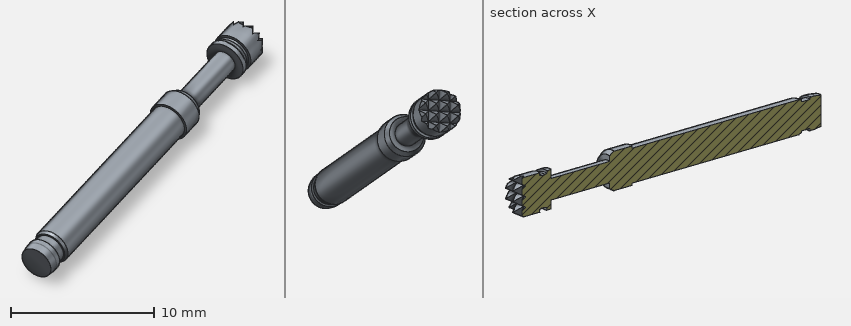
import cadquery as cq
import math

total_length = 27.3

groove_start = 2.0
groove_end = 2.6
head_length = 3.0
collar_start = 8.25
collar_end = 10.3
barrel_end = 25.55
tail_cap_start = 26.3

head_radius = 1.5
groove_rim_radius = 1.3
groove_floor_radius = 1.25
plunger_radius = 0.85
collar_radius = head_radius
barrel_radius = 1.35
tail_neck_radius = 1.12
tail_cap_radius = 1.28

groove_taper_length = 0.16
collar_taper_length = 0.4
collar_taper_depth = 0.25
barrel_taper_length = 0.25
barrel_taper_depth = 0.1
tail_taper_length = 0.6
tail_taper_depth = 0.08

tooth_pitch = 0.8
groove_half_angle = 30.0
grooves_across = 5
tooth_depth = tooth_pitch / 2 / math.tan(math.radians(groove_half_angle))


def turned(profile):
    """Revolve (radius, distance from the tips) points, listed tip first, about the axis."""
    outline = [(radius, total_length - distance) for radius, distance in profile]
    first_y = outline[0][1]
    last_y = outline[-1][1]
    outline = [(0, first_y)] + outline + [(0, last_y)]
    return cq.Workplane("XY").polyline(outline).close().revolve(360, (0, 0), (0, 1))


def head():
    """Tip head with a ring groove whose floor tapers up towards both walls."""
    return turned([
        (head_radius, 0),
        (head_radius, groove_start),
        (groove_rim_radius, groove_start),
        (groove_floor_radius, groove_start + groove_taper_length),
        (groove_floor_radius, groove_end - groove_taper_length),
        (groove_rim_radius, groove_end),
        (head_radius, groove_end),
        (head_radius, head_length),
    ])


def tooth_grooves():
    """Parallel V grooves running along Z, the middle one centred on the axis."""
    tip_y = total_length
    root_y = total_length - tooth_depth
    half_pitch = tooth_pitch / 2
    grooves = cq.Workplane("XY")
    for index in range(grooves_across):
        center_x = (index - (grooves_across - 1) / 2) * tooth_pitch
        section = [(center_x - half_pitch, tip_y), (center_x, root_y), (center_x + half_pitch, tip_y)]
        groove = cq.Workplane("XY").polyline(section).close().extrude(2 * head_radius, both=True)
        grooves = grooves.add(groove)
    return grooves.combine()


def serrated_head():
    """Head with two sets of V grooves crossing at right angles."""
    grooves_along_z = tooth_grooves()
    grooves_along_x = grooves_along_z.rotate((0, 0, 0), (0, 1, 0), 90)
    return head().cut(grooves_along_z).cut(grooves_along_x)


def plunger():
    """Thin rod between the head and the collar."""
    return turned([
        (plunger_radius, head_length),
        (plunger_radius, collar_start),
    ])


def barrel():
    """Barrel with a wider collar, both tapered at their outer ends."""
    return turned([
        (collar_radius - collar_taper_depth, collar_start),
        (collar_radius, collar_start + collar_taper_length),
        (collar_radius, collar_end),
        (barrel_radius, collar_end),
        (barrel_radius, barrel_end - barrel_taper_length),
        (barrel_radius - barrel_taper_depth, barrel_end),
    ])


def tail():
    """Narrow neck and an end cap that tapers towards its flat face."""
    return turned([
        (tail_neck_radius, barrel_end),
        (tail_neck_radius, tail_cap_start),
        (tail_cap_radius, tail_cap_start),
        (tail_cap_radius, total_length - tail_taper_length),
        (tail_cap_radius - tail_taper_depth, total_length),
    ])


result = serrated_head().union(plunger()).union(barrel()).union(tail())